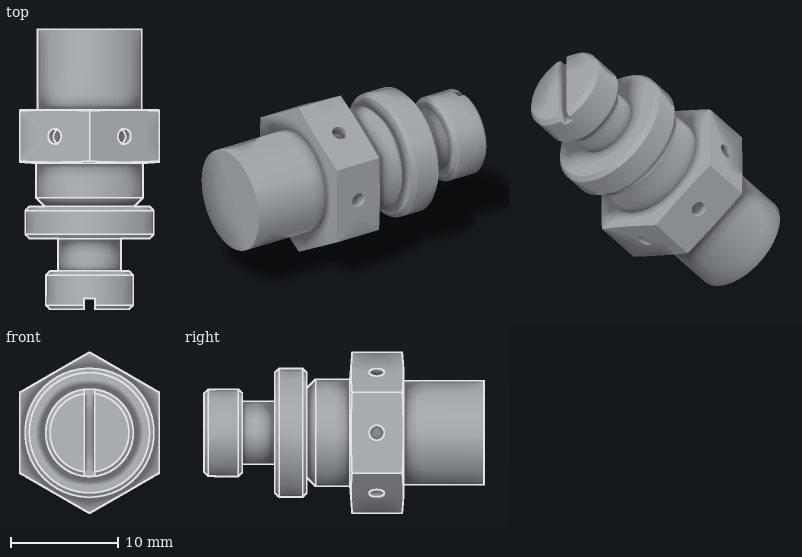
import cadquery as cq
import math


head_diameter = 8.15
neck_diameter = 5.9
collar_diameter = 12.0
body_diameter = 10.0
rear_diameter = 9.73

head_length = 3.6
neck_length = 3.0
collar_length = 3.0
body_length = 4.0
hex_length = 5.0
rear_length = 7.5

edge_chamfer = 0.4
body_chamfer = 0.8

hex_across_flats = 13.0
hex_cone_slope = 0.08
hex_front_face_diameter = body_diameter
hex_rear_face_diameter = 12.0

flat_count = 6
hole_diameter = 1.4
hole_depth = 1.0

slot_width = 1.0
slot_depth = 1.0

neck_start = head_length
collar_start = neck_start + neck_length
body_start = collar_start + collar_length
hex_start = body_start + body_length
rear_start = hex_start + hex_length

hex_across_corners = hex_across_flats / math.cos(math.pi / flat_count)


def section_plane(start):
    """Plane across the axis at Y = start, with its normal along +Y."""
    return cq.Workplane(cq.Plane(origin=(0, start, 0), xDir=(1, 0, 0), normal=(0, 1, 0)))


def turned_section(diameter, start, length):
    """Plain cylinder along the axis."""
    return section_plane(start).circle(diameter / 2).extrude(length)


def slotted_head():
    """Chamfered head with a slot across its front face, along Z."""
    head = turned_section(head_diameter, 0, head_length).faces("<Y or >Y").chamfer(edge_chamfer)
    slot = cq.Workplane("XY").box(slot_width, 2 * slot_depth, head_diameter)
    return head.cut(slot)


def collar():
    """Disc with both rims chamfered."""
    disc = turned_section(collar_diameter, collar_start, collar_length)
    return disc.faces("<Y or >Y").chamfer(edge_chamfer)


def body():
    """Cylinder with a chamfered front rim."""
    return turned_section(body_diameter, body_start, body_length).faces("<Y").chamfer(body_chamfer)


def hexagon():
    """Hexagon with corners up and down, shallow conical end faces and a blind hole in each flat."""
    prism = (
        section_plane(hex_start)
        .polygon(flat_count, hex_across_corners)
        .extrude(hex_length)
        .rotate((0, 0, 0), (0, 1, 0), 180 / flat_count)
    )
    corner_radius = hex_across_corners / 2
    front_radius = hex_front_face_diameter / 2
    rear_radius = hex_rear_face_diameter / 2
    front_cone_height = (corner_radius - front_radius) * hex_cone_slope
    rear_cone_height = (corner_radius - rear_radius) * hex_cone_slope
    hex_end = hex_start + hex_length
    cone_envelope = (
        cq.Workplane("XY")
        .moveTo(0, hex_start)
        .lineTo(front_radius, hex_start)
        .lineTo(corner_radius, hex_start + front_cone_height)
        .lineTo(corner_radius, hex_end - rear_cone_height)
        .lineTo(rear_radius, hex_end)
        .lineTo(0, hex_end)
        .close()
        .revolve(360, (0, 0, 0), (0, 1, 0))
    )
    nut = prism.intersect(cone_envelope)
    hole = (
        cq.Workplane("YZ", origin=(hex_across_flats / 2 - hole_depth, hex_start + hex_length / 2, 0))
        .circle(hole_diameter / 2)
        .extrude(hole_depth)
    )
    for index in range(flat_count):
        nut = nut.cut(hole.rotate((0, 0, 0), (0, 1, 0), index * 360 / flat_count))
    return nut


result = (
    slotted_head()
    .union(turned_section(neck_diameter, neck_start, neck_length))
    .union(collar())
    .union(body())
    .union(hexagon())
    .union(turned_section(rear_diameter, rear_start, rear_length))
)